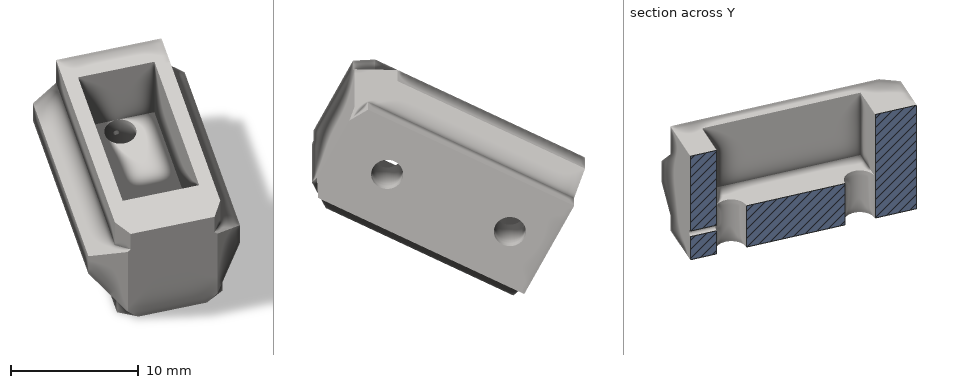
import cadquery as cq

length = 19.0
flange_width = 12.3
height = 10.0

body_width = 8.55
flange_edge_low = 3.35
flange_edge_high = 5.42

flange_cut = (2.5, 2.5)
upper_cut = (1.5, 0.87)
lower_cut = (0.87, 1.5)

pocket_start = 2.2
pocket_length = 13.3
pocket_width = 6.2
pocket_floor = 4.0
hole_diameter = 2.5

pin_hole_diameter = 0.5
pin_hole_height = 2.5


def cut_corner_block(width, cut, bottom, top):
    """Full-length block whose two +X corners are cut off."""
    cut_length, cut_depth = cut
    half = width / 2
    return (
        cq.Workplane("XY")
        .workplane(offset=bottom)
        .polyline([
            (0, -half),
            (length - cut_length, -half),
            (length, cut_depth - half),
            (length, half - cut_depth),
            (length - cut_length, half),
            (0, half),
        ])
        .close()
        .extrude(top - bottom)
    )


def flange_prism():
    """Flange whose 45-degree faces carry on inward to the top and bottom."""
    half = flange_width / 2
    bottom_half = half - flange_edge_low
    top_half = half - (height - flange_edge_high)
    return (
        cq.Workplane("YZ")
        .polyline([
            (-bottom_half, 0),
            (-half, flange_edge_low),
            (-half, flange_edge_high),
            (-top_half, height),
            (top_half, height),
            (half, flange_edge_high),
            (half, flange_edge_low),
            (bottom_half, 0),
        ])
        .close()
        .extrude(length)
    )


flange = flange_prism().intersect(cut_corner_block(flange_width, flange_cut, 0, height))
middle = (flange_edge_low + flange_edge_high) / 2
upper_body = cut_corner_block(body_width, upper_cut, middle, height)
lower_body = cut_corner_block(body_width, lower_cut, 0, middle)
result = flange.union(upper_body).union(lower_body)

pocket = cq.Workplane("XY").box(
    pocket_length, pocket_width, height - pocket_floor, centered=(False, True, False)
).translate((pocket_start, 0, pocket_floor))
result = result.cut(pocket)

first_hole_x = pocket_start + hole_diameter / 2
last_hole_x = pocket_start + pocket_length - hole_diameter / 2
for hole_x in (first_hole_x, last_hole_x):
    hole = cq.Workplane("XY").center(hole_x, 0).circle(hole_diameter / 2).extrude(height)
    result = result.cut(hole)

pin_hole = (
    cq.Workplane("YZ").center(0, pin_hole_height).circle(pin_hole_diameter / 2).extrude(first_hole_x)
)
result = result.cut(pin_hole)